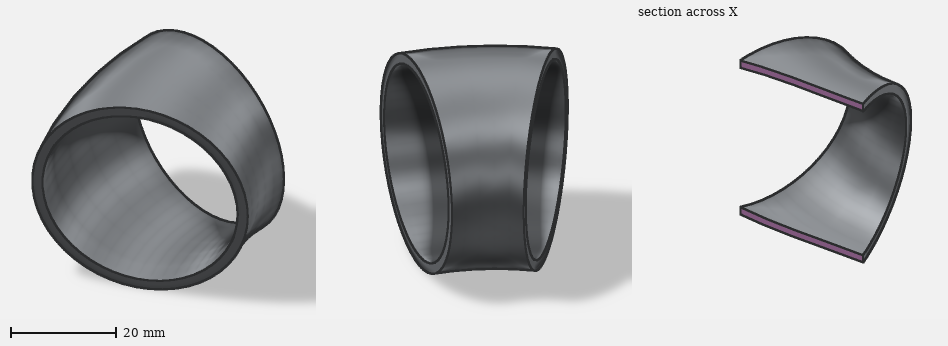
import cadquery as cq
import math

overall_length = 45.9
overall_depth = 34.35
bend_angle = 30.0
wall = 2.0

bend_rad = math.radians(bend_angle)
outside_bend_radius = overall_depth / math.sin(bend_rad)
inside_bend_radius = (outside_bend_radius - overall_length) / math.cos(bend_rad)
bend_radius = (outside_bend_radius + inside_bend_radius) / 2
outer_radius = (outside_bend_radius - inside_bend_radius) / 2
inner_radius = outer_radius - wall

result = (
    cq.Workplane("XZ")
    .circle(outer_radius)
    .circle(inner_radius)
    .revolve(bend_angle, (bend_radius, 0), (bend_radius, -1))
)